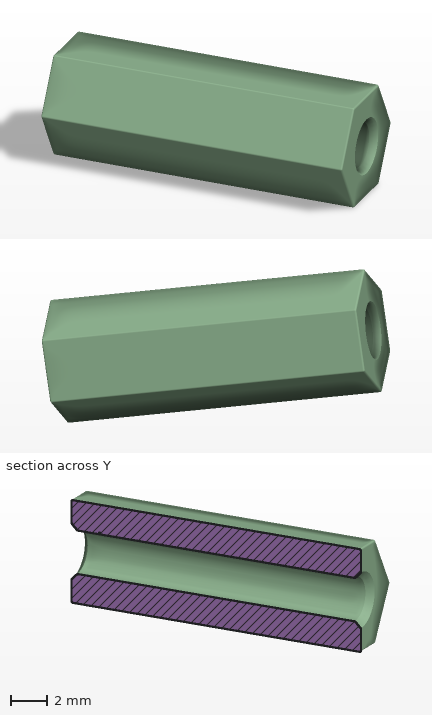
import cadquery as cq
import math

length = 18.0
across_flats = 6.0
edge_radius = 0.1
bore_diameter = 2.5
countersink_diameter = 3.25
countersink_angle = 90.0

across_corners = across_flats / math.cos(math.pi / 6)
countersink_depth = (
    (countersink_diameter - bore_diameter) / 2 / math.tan(math.radians(countersink_angle / 2))
)


def make_hex_bar():
    """Hexagonal bar centred on the origin, flats facing +Z and -Z, outer edges rounded."""
    bar = cq.Workplane("YZ").polygon(6, across_corners).extrude(length / 2, both=True)
    return bar.edges().fillet(edge_radius)


def make_bore():
    """Through bore with a conical countersink at each end, as one revolved cutter."""
    half_length = length / 2
    bore_radius = bore_diameter / 2
    countersink_radius = countersink_diameter / 2
    profile = [
        (-half_length, 0),
        (-half_length, countersink_radius),
        (-half_length + countersink_depth, bore_radius),
        (half_length - countersink_depth, bore_radius),
        (half_length, countersink_radius),
        (half_length, 0),
    ]
    return cq.Workplane("XY").polyline(profile).close().revolve(360, (0, 0, 0), (1, 0, 0))


result = make_hex_bar().cut(make_bore())